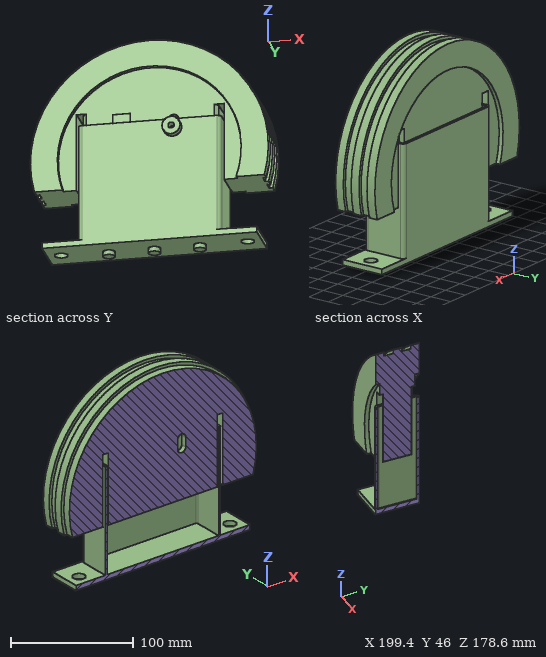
import cadquery as cq

overall_depth = 40.0

base_length = 180.0
base_thickness = 5.0
mounting_hole_diameter = 11.0
mounting_hole_edge_distance = 12.0

housing_width = 119.6
housing_top = 104.5
wall_thickness = 2.4
bend_radius = 3.4

boss_diameter = 15.1
boss_bore_diameter = 5.0
boss_length = 6.0
boss_x = 19.5
boss_z = 96.9

screw_head_diameter = 10.0
screw_head_height = 4.0
screw_spacing = 38.0
screw_count = 3

drum_radius = 99.7
drum_top = 174.6
drum_centre_z = drum_top - drum_radius
drum_cut_below_centre = 25.3
drum_bottom = drum_centre_z - drum_cut_below_centre
groove_depth = 2.8
groove_count = 2
layer_thickness = overall_depth / (2 * groove_count + 1)

hub_radius = 77.0
hub_recess_depth = 4.0
hub_depth = overall_depth - 2 * hub_recess_depth
hub_front_y = -hub_depth / 2

side_slot_outer_x = 61.8
side_slot_inner_x = 56.6
side_slot_top = 115.8
hub_chamfer = 3.0

guide_slot_width = 8.0
guide_slot_top = 109.6
guide_slot_depth = 10.0

mark_size = 14.8
mark_depth = 0.1
mark_x = -24.1
mark_top = 113.5


def cylinder_along_y(radius, x, z, y_start, y_end):
    """Solid cylinder whose axis runs along Y from y_start to y_end."""
    direction = cq.Vector(0, 1, 0)
    return cq.Workplane(cq.Solid.makeCylinder(radius, y_end - y_start, cq.Vector(x, y_start, z), direction))


def block(x_start, x_end, depth, z_start, z_end):
    """Rectangular block centred on Y = 0."""
    size_x = x_end - x_start
    size_z = z_end - z_start
    centre = ((x_start + x_end) / 2, 0, (z_start + z_end) / 2)
    return cq.Workplane("XY").box(size_x, depth, size_z).translate(centre)


def make_housing():
    """Base plate, bent sheet walls and threaded boss as one welded body."""
    front_y = -overall_depth / 2
    hole_x = base_length / 2 - mounting_hole_edge_distance
    base = (
        cq.Workplane("XY")
        .box(base_length, overall_depth, base_thickness, centered=(True, True, False))
        .faces(">Z").workplane()
        .pushPoints([(-hole_x, 0), (hole_x, 0)])
        .hole(mounting_hole_diameter)
    )

    outer = block(-housing_width / 2, housing_width / 2, overall_depth, 0, housing_top)
    outer = outer.edges("|Z").fillet(bend_radius)
    inner_x = housing_width / 2 - wall_thickness
    cavity = block(-inner_x, inner_x, overall_depth - 2 * wall_thickness, base_thickness, housing_top)
    cavity = cavity.edges("|Z").fillet(bend_radius - wall_thickness)

    boss = cylinder_along_y(boss_diameter / 2, boss_x, boss_z, front_y - boss_length, front_y)
    bore = cylinder_along_y(
        boss_bore_diameter / 2, boss_x, boss_z, front_y - boss_length, front_y + wall_thickness
    )
    return base.union(outer).cut(cavity).union(boss).cut(bore)


def make_drum_blank():
    """Round drum with its rim grooves and recessed faces, cut flat at the bottom."""
    half_depth = overall_depth / 2
    blank = cylinder_along_y(drum_radius, 0, drum_centre_z, -half_depth, half_depth)

    for index in range(groove_count):
        start = -half_depth + (2 * index + 1) * layer_thickness
        end = start + layer_thickness
        rim = cylinder_along_y(drum_radius, 0, drum_centre_z, start, end)
        floor = cylinder_along_y(drum_radius - groove_depth, 0, drum_centre_z, start, end)
        blank = blank.cut(rim.cut(floor))

    for start in (-half_depth, hub_depth / 2):
        recess = cylinder_along_y(hub_radius, 0, drum_centre_z, start, start + hub_recess_depth)
        blank = blank.cut(recess)

    below = block(-drum_radius, drum_radius, overall_depth, drum_centre_z - drum_radius, drum_bottom)
    return blank.cut(below)


def make_side_slots():
    """Tool for both housing slots: a wide block less the chamfered part of the hub that remains."""
    opening = block(-side_slot_outer_x, side_slot_outer_x, overall_depth, drum_bottom, side_slot_top)
    core = block(-side_slot_inner_x, side_slot_inner_x, hub_depth, drum_bottom, side_slot_top)
    core = core.edges("|Z").chamfer(hub_chamfer)
    return opening.cut(core)


def make_guide_slot():
    """Tool for the blind guide slot, with round ends, reaching down to the boss axis."""
    radius = guide_slot_width / 2
    end_y = hub_front_y + guide_slot_depth
    upper_z = guide_slot_top - radius
    middle = cq.Workplane("XY").box(guide_slot_width, guide_slot_depth, upper_z - boss_z)
    middle = middle.translate((boss_x, (hub_front_y + end_y) / 2, (upper_z + boss_z) / 2))
    upper_end = cylinder_along_y(radius, boss_x, upper_z, hub_front_y, end_y)
    lower_end = cylinder_along_y(radius, boss_x, boss_z, hub_front_y, end_y)
    return middle.union(upper_end).union(lower_end)


def make_mark():
    """Tool for the shallow square mark."""
    mark = cq.Workplane("XY").box(mark_size, mark_depth, mark_size)
    return mark.translate((mark_x, hub_front_y + mark_depth / 2, mark_top - mark_size / 2))


def make_drum():
    """Complete drum, straddling the housing walls without touching them."""
    return make_drum_blank().cut(make_side_slots()).cut(make_guide_slot()).cut(make_mark())


def make_screw_head(x):
    """Plain screw head seated against the underside of the base plate."""
    head = cq.Workplane("XY").circle(screw_head_diameter / 2).extrude(-screw_head_height)
    return head.translate((x, 0, 0))


housing = make_housing()
drum = make_drum()
screw_heads = [
    make_screw_head((index - (screw_count - 1) / 2) * screw_spacing) for index in range(screw_count)
]

result = cq.Compound.makeCompound(
    [housing.solids().val(), drum.solids().val(), *[head.val() for head in screw_heads]]
)